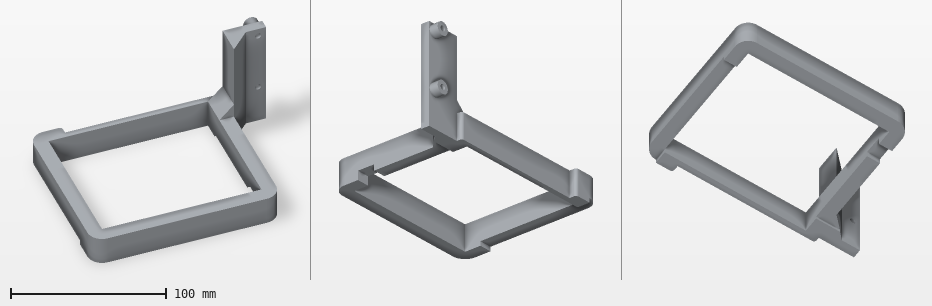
import cadquery as cq

frame_width = 114.9
frame_depth = 130.0
frame_height = 20.0
wall = 10.0
thin_wall = 4.4
corner_radius = wall
small_radius = 2.2
left_block_depth = 23.1

overall_depth = 157.4
post_height = 76.2
post_thickness = 6.8
post_foot_width = 20.1
wedge_run = post_foot_width - post_thickness

boss_diameter = 10.0
boss_hole_diameter = 4.2
boss_length = 6.8
boss_edge_distance = 5.5
boss_heights = (28.0, 70.5)

front_cut_end = 92.0
front_cut_height = 3.3
back_cut_start = 21.7
back_cut_height = 2.2
notch_start = 79.6
notch_end = 93.3
notch_height = 6.8


def box(x0, x1, y0, y1, z0, z1):
    """Block spanning the given limits along each axis."""
    return cq.Workplane("XY").box(x1 - x0, y1 - y0, z1 - z0, centered=False).translate((x0, y0, z0))


def make_frame():
    """Four walls, the left one thinned behind the front corner block."""
    body = box(0, frame_width, 0, frame_depth, 0, frame_height)
    body = body.edges("|Z and (>X or <Y)").fillet(corner_radius)
    thinned = box(0, wall - thin_wall, left_block_depth, frame_depth, 0, frame_height)
    body = body.cut(thinned)
    for x, y in ((0, left_block_depth), (wall - thin_wall, frame_depth)):
        corner = cq.selectors.NearestToPointSelector((x, y, frame_height / 2))
        body = body.edges("|Z").edges(corner).fillet(small_radius)
    opening = box(wall, frame_width - wall, wall, frame_depth - wall, 0, frame_height)
    return body.cut(opening)


def cut_underside(body):
    """Relief under the front wall, and a stepped relief under the back wall and the post wedge."""
    back_y = frame_depth - wall
    body = body.cut(box(0, front_cut_end, 0, wall, 0, front_cut_height))
    body = body.cut(box(back_cut_start, notch_start, back_y, overall_depth, 0, back_cut_height))
    return body.cut(box(notch_start, notch_end, back_y, frame_depth, 0, notch_height))


def make_post():
    """Upright plate whose root widens at 45 degrees towards the frame."""
    return (
        cq.Workplane("XY")
        .moveTo(wall, frame_depth)
        .lineTo(wall + post_foot_width, frame_depth)
        .lineTo(wall + post_thickness, frame_depth + wedge_run)
        .lineTo(wall + post_thickness, overall_depth)
        .lineTo(wall, overall_depth)
        .close()
        .extrude(post_height)
    )


def make_gusset():
    """45 degree brace between the top of the back wall and the post."""
    return (
        cq.Workplane("YZ", origin=(wall, 0, 0))
        .moveTo(frame_depth - wall, frame_height)
        .lineTo(frame_depth, frame_height)
        .lineTo(frame_depth, frame_height + wall)
        .close()
        .extrude(post_foot_width)
    )


def cylinder_along_x(diameter, x0, x1, z):
    """Cylinder on a boss axis at height z."""
    start = (x0, overall_depth - boss_edge_distance, z)
    return cq.Workplane("YZ", origin=start).circle(diameter / 2).extrude(x1 - x0)


result = cut_underside(make_frame().union(make_post()).union(make_gusset()))

boss_face = wall - boss_length
for height in boss_heights:
    result = result.union(cylinder_along_x(boss_diameter, boss_face, wall, height))
    result = result.cut(cylinder_along_x(boss_hole_diameter, boss_face, wall + post_thickness, height))